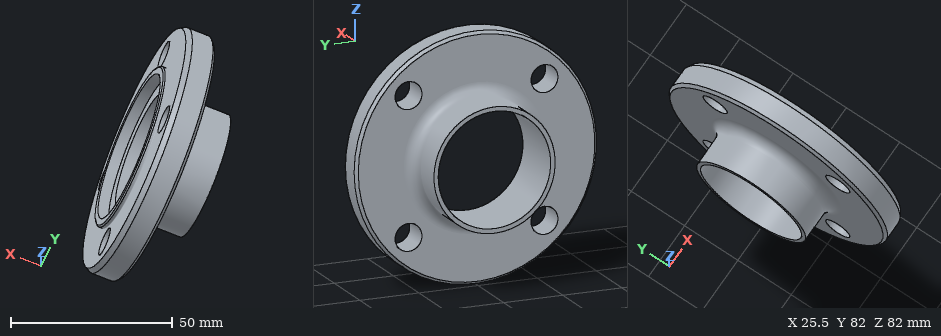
import cadquery as cq

total_length = 25.5
raised_face_height = 1.7
recess_depth = 3.7
flange_thickness = 9.75

flange_diameter = 82.0
neck_diameter = 41.0
bore_diameter = 38.0
raised_face_diameter = 53.6
recess_diameter = 48.2

neck_fillet_radius = 4.0
front_chamfer = 1.0
back_chamfer_length = 1.8
back_chamfer_depth = 1.0
raised_face_chamfer = 0.5
raised_face_root_radius = 0.25

bolt_hole_count = 4
bolt_hole_diameter = 9.0
bolt_circle_diameter = 65.0
first_bolt_angle = 45.0

flange_back_x = total_length - raised_face_height
flange_front_x = flange_back_x - flange_thickness
recess_floor_x = total_length - recess_depth
flange_radius = flange_diameter / 2
neck_radius = neck_diameter / 2
bore_radius = bore_diameter / 2
recess_radius = recess_diameter / 2
raised_face_radius = raised_face_diameter / 2


def make_flange_body():
    """Revolve the half section (axial position, radius) about the X axis."""
    section = (
        cq.Workplane("XY")
        .moveTo(0, bore_radius)
        .lineTo(0, neck_radius)
        .lineTo(flange_front_x - neck_fillet_radius, neck_radius)
        .radiusArc((flange_front_x, neck_radius + neck_fillet_radius), -neck_fillet_radius)
        .lineTo(flange_front_x, flange_radius - front_chamfer)
        .lineTo(flange_front_x + front_chamfer, flange_radius)
        .lineTo(flange_back_x - back_chamfer_length, flange_radius)
        .lineTo(flange_back_x, flange_radius - back_chamfer_depth)
        .lineTo(flange_back_x, raised_face_radius + raised_face_root_radius)
        .radiusArc(
            (flange_back_x + raised_face_root_radius, raised_face_radius),
            -raised_face_root_radius,
        )
        .lineTo(total_length - raised_face_chamfer, raised_face_radius)
        .lineTo(total_length, raised_face_radius - raised_face_chamfer)
        .lineTo(total_length, recess_radius)
        .lineTo(recess_floor_x, recess_radius)
        .lineTo(recess_floor_x, bore_radius)
        .close()
    )
    return section.revolve(360, (0, 0, 0), (1, 0, 0))


def make_bolt_holes():
    """Cylinders along X, spaced evenly on the bolt circle."""
    return (
        cq.Workplane("YZ")
        .polarArray(bolt_circle_diameter / 2, first_bolt_angle, 360, bolt_hole_count)
        .circle(bolt_hole_diameter / 2)
        .extrude(total_length)
    )


result = make_flange_body().cut(make_bolt_holes())